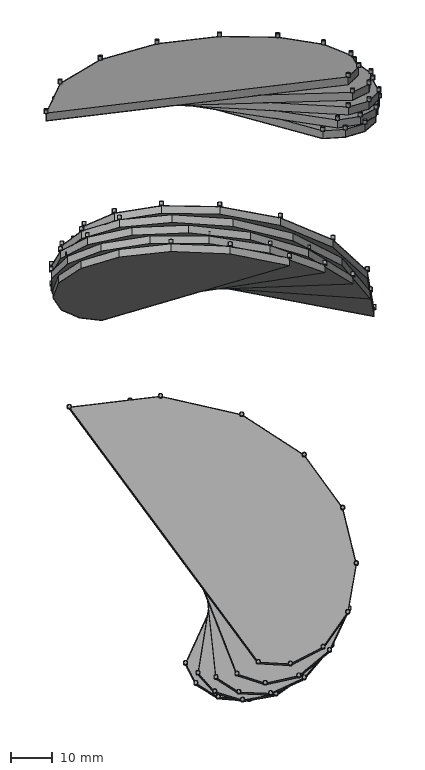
import cadquery as cq
import math

sheet_count = 5
corner_count = 10
total_height = 11.0

top_outer_radius = 70.0
growth_per_sheet = 0.1
turn_per_sheet = 15.0
top_shift = 8.0
spiral_sweep = 180.0

pin_diameter = 1.0
pin_height = 1.0

top_level = sheet_count - 1
sheet_thickness = (total_height - pin_height) / sheet_count
bottom_outer_radius = top_outer_radius / (1 + growth_per_sheet * top_level)
shift_per_sheet = top_shift / top_level


def spiral_corners(level):
    """Corners of one sheet in its own axes, with radius growing in step with the angle."""
    outer_radius = bottom_outer_radius * (1 + growth_per_sheet * level)
    shift = shift_per_sheet * level
    corners = []
    for number in range(1, corner_count + 1):
        fraction = number / corner_count
        radius = outer_radius * fraction
        angle = math.radians(spiral_sweep * fraction)
        corners.append((shift + radius * math.cos(angle), shift + radius * math.sin(angle)))
    return corners


def pinned_sheet(level):
    """One sheet with its corner pins, turned and lifted to its place in the stack."""
    corners = spiral_corners(level)
    sheet = cq.Workplane("XY").polyline(corners).close().extrude(sheet_thickness)
    pins = (
        cq.Workplane("XY", origin=(0, 0, sheet_thickness))
        .pushPoints(corners)
        .circle(pin_diameter / 2)
        .extrude(pin_height)
    )
    return (
        sheet.union(pins)
        .rotate((0, 0, 0), (0, 0, 1), turn_per_sheet * level)
        .translate((0, 0, sheet_thickness * level))
    )


result = pinned_sheet(0)
for level in range(1, sheet_count):
    result = result.union(pinned_sheet(level))